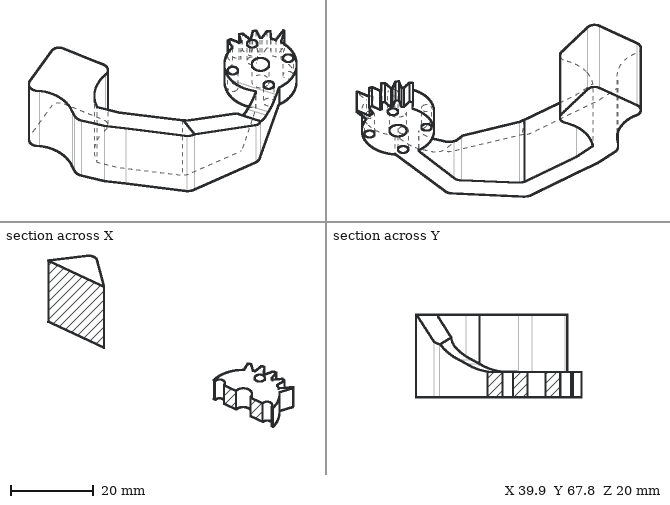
import cadquery as cq
import math

HEIGHT = 20.0
GEAR_THICKNESS = 6.15
GEAR_RADIUS = 8.75
BORE_DIAMETER = 4.2
PIN_HOLE_DIAMETER = 2.5
PIN_CIRCLE_RADIUS = 7.0
PIN_HOLE_COUNT = 4
TOOTH_PITCH_ANGLE = 18
TEETH_PER_SIDE = 2
CUT_WIDTH = 135.4

TOOTH_OUTLINE = [(-8.75, 0.2), (-10.8, 1.3), (-10.8, 2.2), (-8.3, 2.4)]
POINTED_TOOTH_OUTLINE = [(-6.5, 5.75), (-9.0, 8.45), (-8.5, 8.6), (-5.5, 6.8)]

CURVE_ANGLE = -39.7
RAMP_ANGLE = -75.9
CURVE_START = 7.5
CURVE_END = (23.7, 14.55)
RAMP_START = (12.5, 12.8)
RAMP_TOP = 31.55

PAD_CENTER = (2.5, -49.1)
PAD_REACH = 9.9
PAD_CORNER_RADIUS = 2.0
ROUND_SPREAD = PAD_CORNER_RADIUS / math.sqrt(2)
ROUND_START = PAD_REACH + (math.sqrt(2) - 1) * PAD_CORNER_RADIUS - ROUND_SPREAD


def tooth(outline):
    """Tooth from its outline, closed inside the gear disc."""
    return cq.Workplane("XY").polyline(outline + [(0, 0)]).close().extrude(GEAR_THICKNESS)


def make_teeth():
    teeth = tooth(POINTED_TOOTH_OUTLINE)
    upper_tooth = tooth(TOOTH_OUTLINE)
    lower_tooth = upper_tooth.mirror("XZ")
    for index in range(TEETH_PER_SIDE):
        angle = index * TOOTH_PITCH_ANGLE
        teeth = teeth.union(upper_tooth.rotate((0, 0, 0), (0, 0, 1), -angle))
        teeth = teeth.union(lower_tooth.rotate((0, 0, 0), (0, 0, 1), angle))
    return teeth


def make_arm():
    """Bent arm and grip pad at full height, starting inside the gear disc."""
    pad_x, pad_y = PAD_CENTER
    return (
        cq.Workplane("XY")
        .moveTo(6.1, 0)
        .lineTo(8.05, 3.3)
        .threePointArc((8.25, 2.5), (8.8, 1.9))
        .lineTo(23.35, -7.05)
        .threePointArc((24.25, -7.65), (24.8, -8.5))
        .lineTo(29.0, -25.25)
        .threePointArc((29.1, -26.2), (29.0, -27.15))
        .lineTo(22.4, -40.5)
        .lineTo(20.2, -45.2)
        .lineTo(16.85, -50.1)
        .threePointArc((16.0, -50.9), (14.9, -51.25))
        .lineTo(13.55, -51.4)
        .threePointArc((8.0, -53.15), (4.8, -57.0))
        .threePointArc((pad_x, pad_y - PAD_REACH), (pad_x - ROUND_SPREAD, pad_y - ROUND_START))
        .lineTo(pad_x - ROUND_START, pad_y - ROUND_SPREAD)
        .threePointArc((pad_x - PAD_REACH, pad_y), (pad_x - ROUND_START, pad_y + ROUND_SPREAD))
        .lineTo(pad_x - ROUND_SPREAD, pad_y + ROUND_START)
        .threePointArc((pad_x, pad_y + PAD_REACH), (4.3, -40.3))
        .threePointArc((7.7, -43.75), (13.8, -45.2))
        .lineTo(17.0, -40.6)
        .lineTo(23.8, -26.7)
        .lineTo(23.85, -25.45)
        .lineTo(20.5, -11.9)
        .threePointArc((20.2, -11.0), (19.4, -10.3))
        .lineTo(8.25, -3.65)
        .lineTo(7.9, -3.65)
        .close()
        .extrude(HEIGHT)
    )


def rise_plane(angle):
    """Upright plane whose local x runs along the rise and local y runs up."""
    along = (math.cos(math.radians(angle)), math.sin(math.radians(angle)), 0)
    across = (along[1], -along[0], 0)
    return cq.Workplane(cq.Plane(origin=(0, 0, 0), xDir=along, normal=across))


def make_curve_cut():
    """Space above the concave rise from the gear face."""
    return (
        rise_plane(CURVE_ANGLE)
        .moveTo(-GEAR_RADIUS, GEAR_THICKNESS)
        .lineTo(CURVE_START, GEAR_THICKNESS)
        .tangentArcPoint((14.95, 8.05), relative=False)
        .lineTo(16.9, 9.0)
        .threePointArc((21.0, 11.45), CURVE_END)
        .lineTo(CURVE_END[0], HEIGHT)
        .lineTo(-GEAR_RADIUS, HEIGHT)
        .close()
        .extrude(CUT_WIDTH / 2, both=True)
    )


def make_ramp_cut():
    """Space above the straight ramp up to full height."""
    return (
        rise_plane(RAMP_ANGLE)
        .polyline([RAMP_START, (RAMP_TOP, HEIGHT), (RAMP_START[0], HEIGHT)])
        .close()
        .extrude(CUT_WIDTH / 2, both=True)
    )


def make_holes():
    bore = cq.Workplane("XY").circle(BORE_DIAMETER / 2).extrude(HEIGHT)
    pin_holes = (
        cq.Workplane("XY")
        .polarArray(PIN_CIRCLE_RADIUS, 0, 360, PIN_HOLE_COUNT)
        .circle(PIN_HOLE_DIAMETER / 2)
        .extrude(HEIGHT)
    )
    return bore.union(pin_holes)


disc = cq.Workplane("XY").circle(GEAR_RADIUS).extrude(HEIGHT)
body = disc.union(make_arm()).cut(make_curve_cut()).cut(make_ramp_cut())
result = body.union(make_teeth()).cut(make_holes())